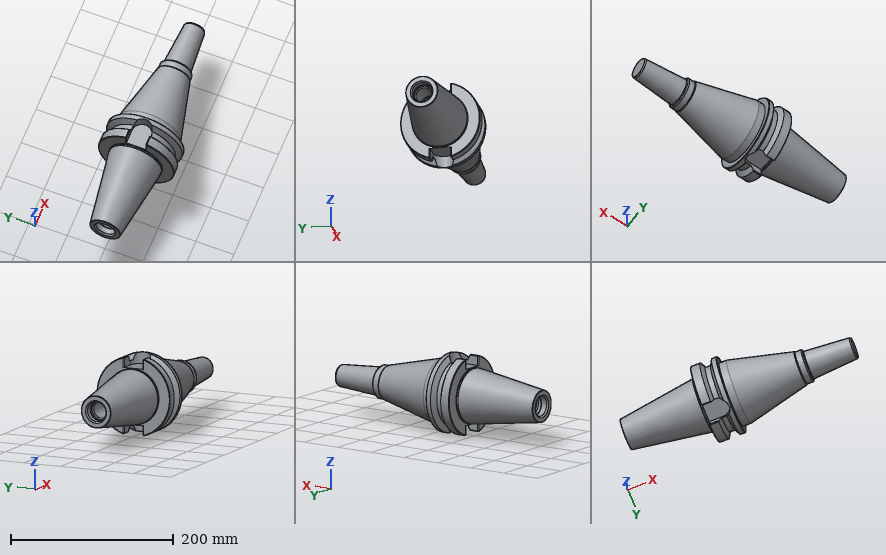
import cadquery as cq
import math

length = 301.8
taper_ratio = 7 / 24
taper_length = 101.7
taper_large_radius = 35.0
taper_small_radius = taper_large_radius - taper_length * taper_ratio / 2
taper_end_chamfer = 0.5
neck_radius = 34.5
neck_step = 0.5

flange_start = 104.7
flange_end = 139.5
flange_diameter = 100.0
flange_radius = flange_diameter / 2
flange_chamfer = 0.75
groove_radius = 42.5
groove_flank_angle = 30.0
groove_flank_run = (flange_radius - groove_radius) * math.tan(math.radians(groove_flank_angle))
groove_floor_start = 121.3
groove_floor_end = 128.3
rim_end = groove_floor_start - groove_flank_run

body_radius = 41.5
body_cylinder_end = 149.0
body_cone_end = 230.3
body_cone_end_radius = 22.0
collar_radius = 21.0
collar_step = 1.2
collar_end = 240.8
collar_chamfer = 1.5
nose_root_bevel = 1.2
nose_base_radius = 18.0
nose_tip_radius = 14.0
nose_chamfer_run = 1.8
nose_chamfer_depth = 1.0

slot_width = 25.7
slot_half_width = slot_width / 2
slot_floor_spacing = 71.0
slot_floor_height = slot_floor_spacing / 2
slot_end = 136.5
slot_chamfer = 1.2
selection_margin = 0.5

bore_mouth_radius = 14.2
bore_mouth_depth = 2.0
counterbore_diameter = 25.0
counterbore_radius = counterbore_diameter / 2
counterbore_depth = 9.7
entry_radius = 12.0
entry_depth = 14.0
thread_radius = 10.5
thread_depth = 45.3
drill_diameter = 19.0
drill_radius = drill_diameter / 2
drill_depth = 60.5
drill_tip_angle = 118.0


def revolve_about_x(points):
    """Revolve a closed (x, radius) outline about the X axis."""
    return cq.Workplane("XY").polyline(points).close().revolve(360, (0, 0, 0), (1, 0, 0))


def make_body():
    return revolve_about_x([
        (0, 0),
        (0, taper_small_radius - taper_end_chamfer),
        (taper_end_chamfer, taper_small_radius),
        (taper_length, taper_large_radius),
        (taper_length + neck_step, neck_radius),
        (flange_start - neck_step, neck_radius),
        (flange_start, neck_radius + neck_step),
        (flange_start, flange_radius - flange_chamfer),
        (flange_start + flange_chamfer, flange_radius),
        (rim_end, flange_radius),
        (groove_floor_start, groove_radius),
        (groove_floor_end, groove_radius),
        (groove_floor_end + groove_flank_run, flange_radius),
        (flange_end - flange_chamfer, flange_radius),
        (flange_end, flange_radius - flange_chamfer),
        (flange_end, body_radius),
        (body_cylinder_end, body_radius),
        (body_cone_end, body_cone_end_radius),
        (body_cone_end + collar_step, collar_radius),
        (collar_end - collar_chamfer, collar_radius),
        (collar_end, collar_radius - collar_chamfer),
        (collar_end, nose_base_radius + nose_root_bevel),
        (collar_end + nose_root_bevel, nose_base_radius),
        (length - nose_chamfer_run, nose_tip_radius),
        (length, nose_tip_radius - nose_chamfer_depth),
        (length, 0),
    ])


def make_bore():
    """Stepped bore: flared mouth, 45-degree bevels between the steps, conical drill tip."""
    drill_tip = drill_radius / math.tan(math.radians(drill_tip_angle / 2))
    return revolve_about_x([
        (0, 0),
        (0, bore_mouth_radius),
        (bore_mouth_depth, counterbore_radius),
        (counterbore_depth, counterbore_radius),
        (counterbore_depth + counterbore_radius - entry_radius, entry_radius),
        (entry_depth, entry_radius),
        (entry_depth + entry_radius - thread_radius, thread_radius),
        (thread_depth, thread_radius),
        (thread_depth + thread_radius - drill_radius, drill_radius),
        (drill_depth, drill_radius),
        (drill_depth + drill_tip, 0),
    ])


def make_slot():
    """Round-ended cutter for the upper drive slot, open towards the taper."""
    arc_center = slot_end - slot_half_width
    return (
        cq.Workplane("XY", origin=(0, 0, slot_floor_height))
        .moveTo(taper_length, -slot_half_width)
        .lineTo(arc_center, -slot_half_width)
        .threePointArc((slot_end, 0), (arc_center, slot_half_width))
        .lineTo(taper_length, slot_half_width)
        .close()
        .extrude(flange_radius)
    )


def chamfer_slot_mouths(part):
    """Break the slot wall edges along the flange front face and along the rim."""
    wall_reach = slot_half_width + selection_margin
    region = cq.selectors.BoxSelector(
        (flange_start - selection_margin, -wall_reach, -flange_radius),
        (rim_end + selection_margin, wall_reach, flange_radius),
        boundingbox=True,
    )
    floor_front_edges = cq.selectors.ParallelDirSelector(cq.Vector(0, 1, 0))
    return part.edges(region - floor_front_edges).chamfer(slot_chamfer)


slot = make_slot()
slotted = make_body().cut(make_bore()).cut(slot).cut(slot.rotate((0, 0, 0), (1, 0, 0), 180))
result = chamfer_slot_mouths(slotted)